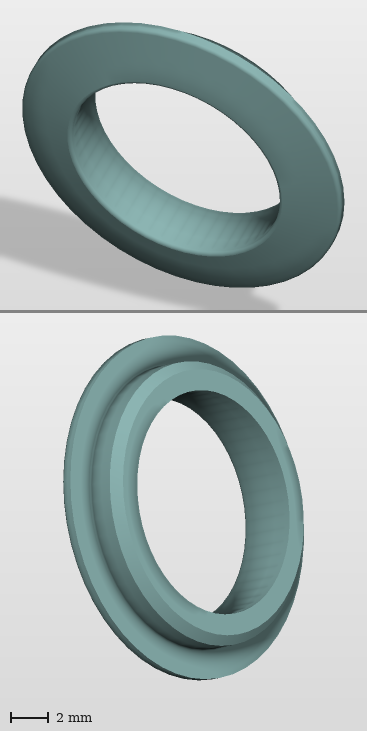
import cadquery as cq
import math

flange_radius = 9.19
total_length = 3.25
bore_radius = 6.0

flange_back_y = 1.38
cone_angle = math.radians(15.0)
bore_edge_radius = 0.2
rim_fillet = 0.2

spigot_radius = 7.61
spigot_chamfer = 0.5
root_fillet = 0.1

quarter_arc_middle = math.radians(225)

crest_radius = bore_radius + bore_edge_radius
rim_y = (flange_radius - crest_radius) * math.tan(cone_angle)

rim_center_radius = flange_radius - rim_fillet
rim_center_y = rim_y + rim_fillet * (1 / math.cos(cone_angle) - math.tan(cone_angle))


def point_on_arc(center, radius, angle):
    """Point at an angle measured from the radial direction."""
    return (center[0] + radius * math.cos(angle), center[1] + radius * math.sin(angle))


rim_center = (rim_center_radius, rim_center_y)
rim_cone_angle = cone_angle - math.pi / 2
rim_on_cone = point_on_arc(rim_center, rim_fillet, rim_cone_angle)
rim_middle = point_on_arc(rim_center, rim_fillet, rim_cone_angle / 2)

bore_edge_center = (crest_radius, bore_edge_radius)
bore_edge_middle = point_on_arc(bore_edge_center, bore_edge_radius, quarter_arc_middle)

root_center = (spigot_radius + root_fillet, flange_back_y + root_fillet)
root_middle = point_on_arc(root_center, root_fillet, quarter_arc_middle)

section = (
    cq.Workplane("XY")
    .moveTo(crest_radius, 0)
    .lineTo(*rim_on_cone)
    .threePointArc(rim_middle, (flange_radius, rim_center_y))
    .lineTo(flange_radius, flange_back_y)
    .lineTo(root_center[0], flange_back_y)
    .threePointArc(root_middle, (spigot_radius, root_center[1]))
    .lineTo(spigot_radius, total_length - spigot_chamfer)
    .lineTo(spigot_radius - spigot_chamfer, total_length)
    .lineTo(bore_radius, total_length)
    .lineTo(bore_radius, bore_edge_radius)
    .threePointArc(bore_edge_middle, (crest_radius, 0))
    .close()
)

result = section.revolve(360, (0, 0, 0), (0, 1, 0))